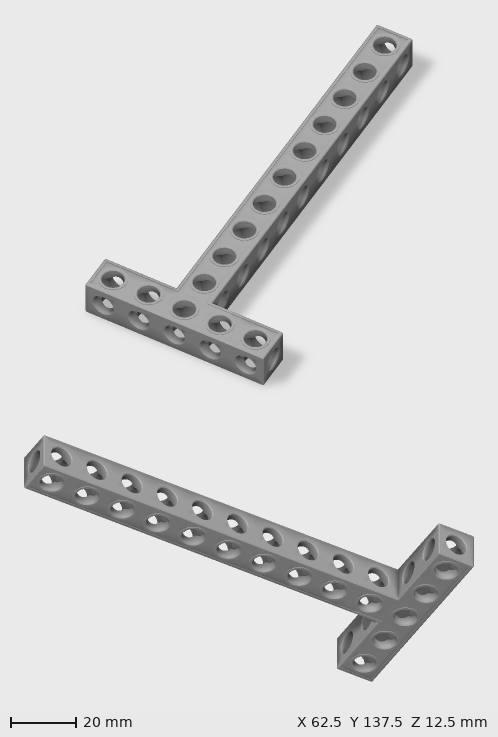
import cadquery as cq
length = 137.5
bar_holes = 5
stem_holes = 10
bore_diameter = 7.0
collar_diameter = 9.2
mouth_chamfer = 0.3
edge_chamfer = 0.3
rim_width = 1.1
recess_depth = 0.2
cross_pitch_shortfall = 0.05

pitch = length / (stem_holes + 1)
beam = pitch
bar_length = bar_holes * pitch
bar_y = (beam - length) / 2
stem_end_y = length / 2
bar_hole_x = [(i - (bar_holes - 1) / 2) * pitch for i in range(bar_holes)]
stem_hole_y = [bar_y + (i + 1) * pitch for i in range(stem_holes)]

cross_pitch = pitch - cross_pitch_shortfall
cross_hole_y = [stem_end_y - beam / 2 - i * cross_pitch for i in range(stem_holes)]


def tee(inset, height):
    """T-shaped plate centred on Z = 0, with its outline moved inward by the inset."""
    bar = cq.Workplane("XY").box(bar_length - 2 * inset, beam - 2 * inset, height)
    stem = cq.Workplane("XY").box(beam - 2 * inset, length - 2 * inset, height)
    return stem.union(bar.translate((0, bar_y, 0)))


def bore(span):
    """Cutter along Z for a through hole of the given span, chamfered at both mouths."""
    bore_radius = bore_diameter / 2
    mouth_radius = bore_radius + mouth_chamfer
    half_span = span / 2
    return (
        cq.Workplane("XZ")
        .moveTo(0, -half_span)
        .lineTo(mouth_radius, -half_span)
        .lineTo(bore_radius, mouth_chamfer - half_span)
        .lineTo(bore_radius, half_span - mouth_chamfer)
        .lineTo(mouth_radius, half_span)
        .lineTo(0, half_span)
        .close()
        .revolve(360, (0, 0, 0), (0, 1, 0))
    )


def bore_along_x(span):
    """Through-hole cutter lying along X."""
    return bore(span).rotate((0, 0, 0), (0, 1, 0), 90)


def bore_along_y(span):
    """Through-hole cutter lying along Y."""
    return bore(span).rotate((0, 0, 0), (1, 0, 0), 90)


def recess():
    """Shallow floor inside the rim, leaving a collar standing around each vertical hole."""
    centers = [(x, bar_y) for x in bar_hole_x] + [(0, y) for y in stem_hole_y]
    collars = cq.Workplane("XY").pushPoints(centers).circle(collar_diameter / 2).extrude(beam, both=True)
    return tee(rim_width, 2 * recess_depth).cut(collars)


body = tee(0, beam).edges("(|Z and (<X or >X or <Y or >Y)) or >Z or <Z").chamfer(edge_chamfer)

for side in (-1, 1):
    body = body.cut(recess().translate((0, 0, side * beam / 2)))

upright = bore(beam)
along_y = bore_along_y(beam)
along_x = bore_along_x(beam)
for x in bar_hole_x:
    body = body.cut(upright.translate((x, bar_y, 0)))
    if x != 0:
        body = body.cut(along_y.translate((x, bar_y, 0)))
for y in stem_hole_y:
    body = body.cut(upright.translate((0, y, 0)))
for y in cross_hole_y:
    body = body.cut(along_x.translate((0, y, 0)))

body = body.cut(bore_along_x(bar_length).translate((0, bar_y, 0)))
body = body.cut(bore_along_y(length))

result = body